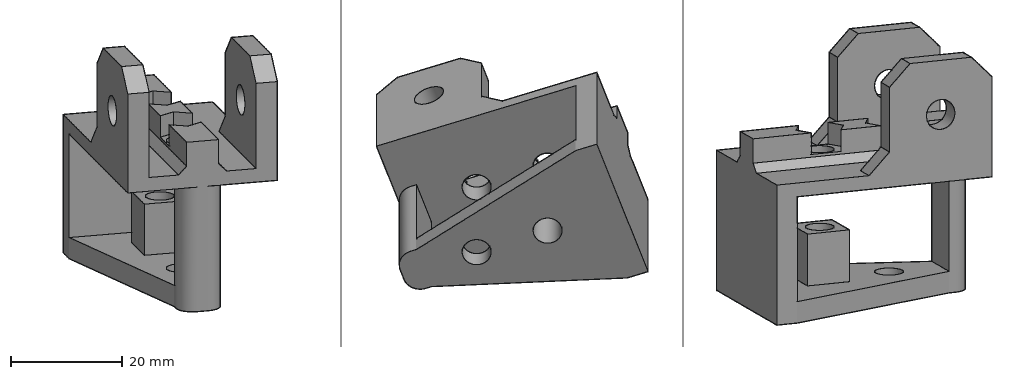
import cadquery as cq
import math

length = 42.0
width = 28.0
height = 46.0
wall = 4.0

deck_top = 26.0
deck_bottom = 23.4

rail_width = 6.0
rail_top = 32.0
rail_foot = 1.5

bolt_diameter = 5.2
bolt_positions = (14.25, 27.8)
nut_across_flats = 7.95
nut_across_corners = nut_across_flats / math.cos(math.pi / 6)
nut_floor = 28.0

boss_size = 8.2
boss_top = 13.6
post_start = 37.8
post_round_radius = 3.1

lug_chamfer = wall
lug_start = 22.0
lug_hole_diameter = 5.5
lug_hole_x = 31.95
lug_hole_z = 35.95


def box(x_start, x_end, y_size, z_start, z_end):
    """Block centred on Y."""
    block = cq.Workplane("XY").box(x_end - x_start, y_size, z_end - z_start, centered=(False, True, False))
    return block.translate((x_start, 0, z_start))


def make_rail():
    """Straight rail with a sloped foot on each side."""
    half = rail_width / 2
    foot_half = half + rail_foot
    profile = [
        (-foot_half, deck_bottom),
        (-foot_half, deck_top),
        (-half, deck_top + rail_foot),
        (-half, rail_top),
        (half, rail_top),
        (half, deck_top + rail_foot),
        (foot_half, deck_top),
        (foot_half, deck_bottom),
    ]
    return cq.Workplane("YZ").polyline(profile).close().extrude(length)


def make_floor():
    """Floor plate tapering from the end wall to the post."""
    outline = [
        (wall, -width / 2),
        (post_start, -boss_size / 2),
        (post_start, boss_size / 2),
        (wall, width / 2),
    ]
    return cq.Workplane("XY").polyline(outline).close().extrude(wall)


def make_post():
    """Full-height post with rounded outer corners."""
    post = box(post_start, length, boss_size, 0, deck_top)
    return post.edges("|Z and >X").fillet(post_round_radius)


def make_lug(y_outer):
    """Pivot lug whose +Y face lies at y_outer."""
    outline = [
        (lug_start - lug_chamfer, deck_bottom),
        (lug_start - lug_chamfer, deck_top),
        (lug_start, deck_top + lug_chamfer),
        (lug_start, height - lug_chamfer),
        (lug_start + lug_chamfer, height),
        (length - lug_chamfer, height),
        (length, height - lug_chamfer),
        (length, deck_bottom),
    ]
    plate = cq.Workplane("XZ", origin=(0, y_outer, 0)).polyline(outline).close().extrude(wall)
    hole = (
        cq.Workplane("XZ", origin=(0, y_outer, 0))
        .center(lug_hole_x, lug_hole_z)
        .circle(lug_hole_diameter / 2)
        .extrude(wall)
    )
    return plate.cut(hole)


def make_bolt_cut(x):
    """Vertical through hole with a nut pocket cut into the rail."""
    hole = cq.Workplane("XY").center(x, 0).circle(bolt_diameter / 2).extrude(height)
    pocket = (
        cq.Workplane("XY", origin=(x, 0, nut_floor))
        .polygon(6, nut_across_corners)
        .extrude(height - nut_floor)
    )
    return hole.union(pocket)


end_wall = box(0, wall, width, 0, deck_top)
deck = box(0, length, width, deck_bottom, deck_top)
first_bolt = bolt_positions[0]
boss = box(first_bolt - boss_size / 2, first_bolt + boss_size / 2, boss_size, 0, boss_top)

result = end_wall.union(deck).union(make_rail())
result = result.union(make_floor()).union(make_post()).union(boss)

for y_outer in (width / 2, wall - width / 2):
    result = result.union(make_lug(y_outer))

for bolt_x in bolt_positions:
    result = result.cut(make_bolt_cut(bolt_x))